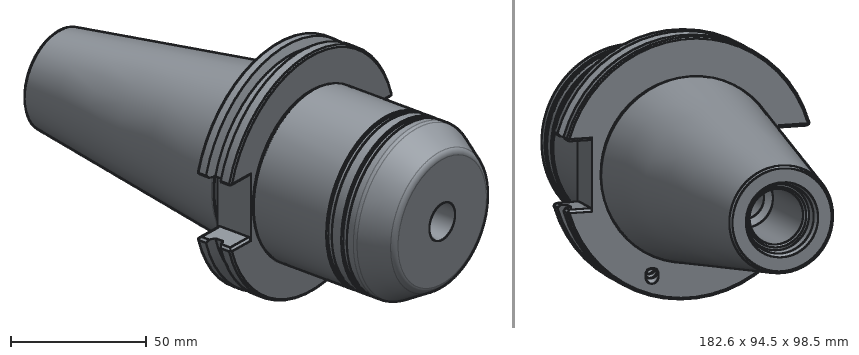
import cadquery as cq
import math

overall_length = 182.6
gauge_x = 101.5
neck_x = 102.5
flange_start_x = 104.6
flange_end_x = 120.7
barrel_start_x = 121.6

gauge_radius = 34.9
neck_radius = 34.3
flange_diameter = 98.5
flange_radius = flange_diameter / 2
barrel_radius = 34.9
taper_slope = 7 / 48
small_end_radius = gauge_radius - gauge_x * taper_slope
small_end_chamfer = 1.0

rim_chamfer = 0.7
vee_centre_x = 112.5
vee_floor_width = 3.7
vee_floor_radius = 45.6
vee_half_angle = math.radians(25)

nose_cone_x = 169.6
nose_angle = math.radians(30)
nose_rounding = 3.0

groove_starts = (156.0, 163.0)
groove_width = 2.7
groove_depth = 0.5
groove_wall_run = 0.5

slot_half_width = 12.8
slot_edge_chamfer = 1.1
front_slot_floor = 35.2
back_slot_floor = 37.6

through_radius = 7.5
mouth_radius = 14.0
mouth_depth = 1.8
counterbore_radius = 13.0
counterbore_floor_radius = 12.5
counterbore_depth = 5.5
thread_lead_in_radius = 11.3
thread_radius = 10.4
thread_depth = 40.2
drill_point_half_angle = math.radians(60)

port_y = 14.2
port_z = -39.5
port_tilt = 30.0
port_mouth_radius = 2.5
port_steps = (
    (port_mouth_radius, 1.5),
    (2.2, 3.5),
    (1.8, 11.0),
)


def revolve_about_x(points):
    profile = cq.Workplane("XZ").polyline(points).close()
    return profile.revolve(360, (0, 0, 0), (1, 0, 0))


def make_taper_shank():
    chamfer_end_radius = small_end_radius + small_end_chamfer * taper_slope
    return revolve_about_x([
        (0, 0),
        (0, chamfer_end_radius - small_end_chamfer),
        (small_end_chamfer, chamfer_end_radius),
        (gauge_x, gauge_radius),
        (neck_x, gauge_radius),
        (neck_x, neck_radius),
        (flange_start_x, neck_radius),
        (flange_start_x, 0),
    ])


def make_flange():
    vee_floor_half = vee_floor_width / 2
    vee_top_half = vee_floor_half + (flange_radius - vee_floor_radius) * math.tan(vee_half_angle)
    shoulder_radius = flange_radius - rim_chamfer
    flange = revolve_about_x([
        (flange_start_x, 0),
        (flange_start_x, shoulder_radius),
        (flange_start_x + rim_chamfer, flange_radius),
        (flange_end_x - rim_chamfer, flange_radius),
        (flange_end_x, shoulder_radius),
        (flange_end_x, 0),
    ])
    for side, floor in ((-1, front_slot_floor), (1, back_slot_floor)):
        flange = flange.cut(make_drive_slot(side, floor))
    vee = revolve_about_x([
        (vee_centre_x - vee_top_half, flange_radius),
        (vee_centre_x - vee_floor_half, vee_floor_radius),
        (vee_centre_x + vee_floor_half, vee_floor_radius),
        (vee_centre_x + vee_top_half, flange_radius),
    ])
    return flange.cut(vee)


def make_drive_slot(side, floor):
    """Slot through the flange, its walls flared where they meet both faces and the rim."""
    reach = flange_radius - floor
    length = flange_end_x - flange_start_x
    middle_x = (flange_start_x + flange_end_x) / 2
    slot = cq.Workplane("XY").box(length, reach, 2 * slot_half_width)
    slot = slot.translate((middle_x, side * (floor + reach / 2), 0))

    flare_half_width = slot_half_width + slot_edge_chamfer
    for face_x, inward in ((flange_start_x, 1), (flange_end_x, -1)):
        end_flare = (
            cq.Workplane("XZ", origin=(0, side * floor, 0))
            .polyline([
                (face_x, flare_half_width),
                (face_x + inward * slot_edge_chamfer, slot_half_width),
                (face_x + inward * slot_edge_chamfer, -slot_half_width),
                (face_x, -flare_half_width),
            ])
            .close()
            .extrude(-side * reach)
        )
        slot = slot.union(end_flare)

    rim_y = math.sqrt(flange_radius**2 - flare_half_width**2)
    rim_flare = (
        cq.Workplane("YZ", origin=(flange_start_x, 0, 0))
        .polyline([
            (side * flange_radius, flare_half_width),
            (side * rim_y, flare_half_width),
            (side * (rim_y - slot_edge_chamfer), slot_half_width),
            (side * (rim_y - slot_edge_chamfer), -slot_half_width),
            (side * rim_y, -flare_half_width),
            (side * flange_radius, -flare_half_width),
        ])
        .close()
        .extrude(length)
    )
    return slot.union(rim_flare)


def make_barrel():
    nose_face_radius = barrel_radius - (overall_length - nose_cone_x) * math.tan(nose_angle)
    barrel = revolve_about_x([
        (flange_end_x, 0),
        (flange_end_x, neck_radius),
        (barrel_start_x, neck_radius),
        (barrel_start_x, barrel_radius),
        (nose_cone_x, barrel_radius),
        (overall_length, nose_face_radius),
        (overall_length, 0),
    ])
    nose_edges = cq.selectors.BoxSelector(
        (nose_cone_x - nose_rounding, -flange_radius, -flange_radius),
        (overall_length + nose_rounding, flange_radius, flange_radius),
    )
    barrel = barrel.edges("%CIRCLE").edges(nose_edges).fillet(nose_rounding)
    for start in groove_starts:
        barrel = barrel.cut(make_grip_groove(start))
    return barrel


def make_grip_groove(start):
    end = start + groove_width
    floor_radius = barrel_radius - groove_depth
    clear_radius = barrel_radius + groove_depth
    return revolve_about_x([
        (start, clear_radius),
        (start, barrel_radius),
        (start + groove_wall_run, floor_radius),
        (end - groove_wall_run, floor_radius),
        (end, barrel_radius),
        (end, clear_radius),
    ])


def make_bore():
    lead_in_end = counterbore_depth + thread_lead_in_radius - thread_radius
    drill_point_length = (thread_radius - through_radius) / math.tan(drill_point_half_angle)
    return revolve_about_x([
        (0, 0),
        (0, mouth_radius),
        (mouth_depth, counterbore_radius),
        (counterbore_depth, counterbore_floor_radius),
        (counterbore_depth, thread_lead_in_radius),
        (lead_in_end, thread_radius),
        (thread_depth, thread_radius),
        (thread_depth + drill_point_length, through_radius),
        (overall_length, through_radius),
        (overall_length, 0),
    ])


def make_port():
    """Stepped blind hole entering the flange face and rising towards the part's axis."""
    tilt = math.radians(port_tilt)
    direction = cq.Vector(math.cos(tilt), 0, math.sin(tilt))
    mouth = cq.Vector(flange_start_x, port_y, port_z)
    lead_in = port_mouth_radius
    start = mouth - direction * lead_in
    port = cq.Workplane("XY")
    for radius, depth in port_steps:
        port = port.add(cq.Solid.makeCylinder(radius, lead_in + depth, start, direction))
    return port.combine()


body = make_taper_shank().union(make_flange()).union(make_barrel())
result = body.cut(make_bore()).cut(make_port())